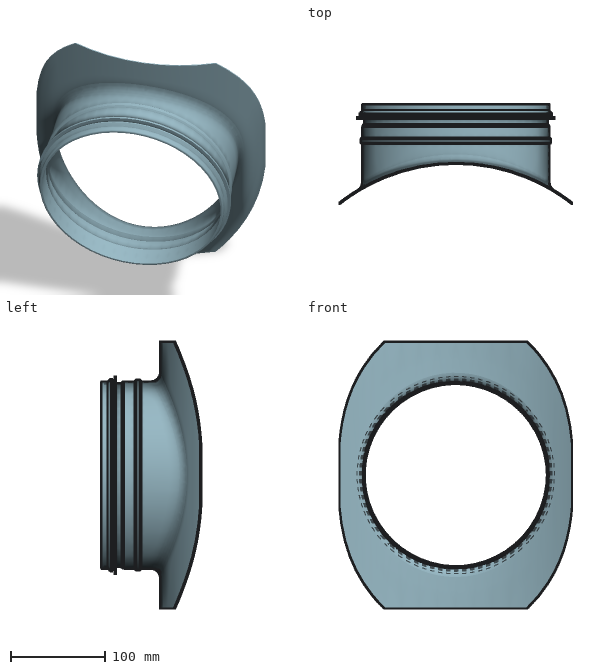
import cadquery as cq

sheet = 1.0
duct_radius = 200.0
saddle_outer_radius = duct_radius + sheet
saddle_height = 283.0
saddle_width = 247.0
flat_top_width = 151.5
straight_side_height = 66.8
side_curve = [(100.0, 111.5), (111.5, 88.3), (118.5, 65.7)]

pipe_radius = 199.0 / 2
groove_radius = 195.3 / 2
step_kink_radius = 99.0
bead_radius = 202.3 / 2
pipe_end_y = duct_radius + 63.5
bore_fillet = 10.0
outer_fillet = bore_fillet - sheet

hem_length = 6.5
hem_rounding = 1.5
groove_end = 21.2
step_kink = 23.2
step_end = 25.5
step_inner_end = 24.3
bead_start = 35.5
bead_crest_start = 37.4
bead_crest_end = 40.8
bead_end = 42.5

seal_radius = 197.8 / 2
seal_shoulder_radius = 100.2
small_lip_radius = 204.3 / 2
large_lip_radius = 209.5 / 2
seal_shoulder = 8.2
small_lip_start = 10.2
small_lip_end = 11.3
small_lip_root = 12.7
large_lip_start = 14.0
seal_end = 15.8


def revolve_about_y(stations):
    """Revolve (radius, distance from the pipe end) stations, closed, about the Y axis."""
    points = [(radius, pipe_end_y - distance) for radius, distance in stations]
    return cq.Workplane("XY").polyline(points).close().revolve(360, (0, 0, 0), (0, 1, 0))


def duct_cylinder(radius):
    return cq.Workplane("XY").circle(radius).extrude(saddle_height / 2, both=True)


def pipe_cylinder(radius):
    """Solid cylinder from the duct axis to the free end of the pipe."""
    return cq.Workplane("XZ").circle(radius).extrude(-pipe_end_y)


def joined_cylinders(main_radius, branch_radius, fillet):
    """Duct cylinder and branch cylinder, blended where they meet."""
    main = duct_cylinder(main_radius)
    joined = main.union(pipe_cylinder(branch_radius))
    meeting_point = (0, main_radius, branch_radius)
    return joined.edges(cq.selectors.NearestToPointSelector(meeting_point)).fillet(fillet)


def saddle_outline():
    """Prism along Y: flat top and bottom, short straight sides and four curved corners."""
    quarter = [
        (flat_top_width / 2, saddle_height / 2),
        *side_curve,
        (saddle_width / 2, straight_side_height / 2),
    ]
    upper_right = quarter
    lower_right = [(x, -z) for x, z in reversed(quarter)]
    lower_left = [(-x, -z) for x, z in quarter]
    upper_left = [(-x, z) for x, z in reversed(quarter)]
    outline = cq.Workplane("XZ").moveTo(*upper_left[-1])
    for corner in (upper_right, lower_right, lower_left, upper_left):
        outline = outline.lineTo(*corner[0]).spline(corner[1:], includeCurrent=True)
    return outline.close().extrude(-pipe_end_y)


def groove_cutter():
    """Outside groove between the hem and the full-width pipe."""
    clear_radius = pipe_radius + 2.8
    return revolve_about_y([
        (groove_radius, hem_length),
        (clear_radius, hem_length),
        (clear_radius, step_end),
        (pipe_radius, step_end),
        (step_kink_radius, step_kink),
        (groove_radius, groove_end),
    ])


def bead():
    """Raised ring of trapezoidal section, on a solid core."""
    return revolve_about_y([
        (0, bead_start),
        (pipe_radius, bead_start),
        (bead_radius, bead_crest_start),
        (bead_radius, bead_crest_end),
        (pipe_radius, bead_end),
        (0, bead_end),
    ])


def bead_hollow():
    """Rounded hollow behind the bead, on a solid core."""
    bore_radius = pipe_radius - sheet
    start_y = pipe_end_y - bead_start
    end_y = pipe_end_y - bead_end
    return (
        cq.Workplane("XY")
        .moveTo(0, start_y)
        .lineTo(bore_radius, start_y)
        .threePointArc((bead_radius - sheet, (start_y + end_y) / 2), (bore_radius, end_y))
        .lineTo(0, end_y)
        .close()
        .revolve(360, (0, 0, 0), (0, 1, 0))
    )


def bore_neck():
    """Sheet inside the wide bore that narrows it behind the groove and the hem."""
    wide_radius = pipe_radius - sheet
    narrow_radius = groove_radius - sheet
    return revolve_about_y([
        (narrow_radius, 0),
        (wide_radius, 0),
        (wide_radius, step_inner_end),
        (narrow_radius, groove_end),
    ])


def make_saddle_pipe():
    outside = joined_cylinders(saddle_outer_radius, pipe_radius, outer_fillet)
    outside = outside.faces(">Y").edges().fillet(hem_rounding)
    outside = outside.intersect(saddle_outline())
    outside = outside.cut(groove_cutter()).union(bead())
    inside = joined_cylinders(duct_radius, pipe_radius - sheet, bore_fillet)
    inside = inside.cut(bore_neck()).union(bead_hollow())
    return outside.cut(inside)


def make_seal():
    return revolve_about_y([
        (groove_radius, hem_length),
        (seal_radius, hem_length),
        (seal_shoulder_radius, seal_shoulder),
        (small_lip_radius, small_lip_start),
        (small_lip_radius, small_lip_end),
        (seal_radius, small_lip_root),
        (seal_radius, large_lip_start),
        (large_lip_radius, large_lip_start),
        (large_lip_radius, seal_end),
        (groove_radius, seal_end),
    ])


saddle_pipe = make_saddle_pipe()
seal = make_seal()

result = cq.Compound.makeCompound([saddle_pipe.val(), seal.val()])